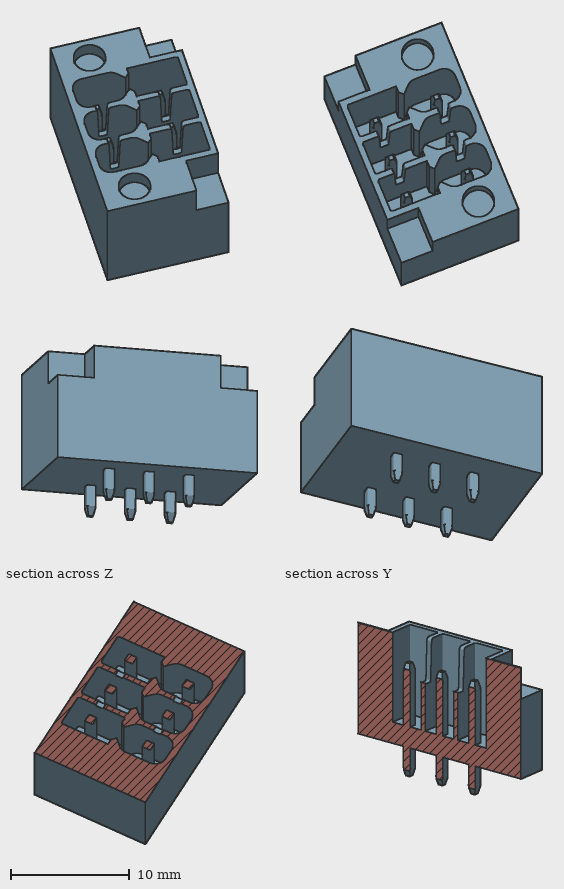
import cadquery as cq
import math

length = 17.5
width = 10.6
overall_height = 12.6
pin_tail = 2.6
housing_height = overall_height - pin_tail

step_length = 3.2
step_width = 2.82
step_depth = 2.82

hole_diameter = 2.7
hole_depth = 1.31
hole_spacing = 13.79
hole_y = -2.4

columns = 3
pitch = 3.5
row_spacing = 5.5
column_positions = [(i - (columns - 1) / 2) * pitch for i in range(columns)]
row_positions = [-row_spacing / 2, row_spacing / 2]

cavity_width = 3.0
cavity_depth = 8.05
cavity_back = 4.76
cavity_front = -4.65
back_radius = 0.2
front_radius = 1.0
shoulder_y = 0.32
neck_y = -0.05
neck_half_width = 0.6
cavity_floor = housing_height - cavity_depth

notch_width = 1.58
notch_depth = 3.85
notch_top_radius = 0.3
notch_draft = 0.12
notch_bottom_radius = 0.2

pin_width = 0.8
pin_edge_radius = 0.12
pin_tip_width = 0.4
pin_tip_length = 0.8
pin_top_clearance = 2.45
pin_top = housing_height - pin_top_clearance


def housing_block():
    block = cq.Workplane("XY").box(length, width, housing_height, centered=(True, True, False))
    for side in (-1, 1):
        step = cq.Workplane("XY").box(step_length, step_width, step_depth).translate((
            side * (length - step_length) / 2,
            (width - step_width) / 2,
            housing_height - step_depth / 2,
        ))
        block = block.cut(step)
    return block


def flange_holes():
    return (
        cq.Workplane("XY", origin=(0, hole_y, housing_height))
        .pushPoints([(-hole_spacing / 2, 0), (hole_spacing / 2, 0)])
        .circle(hole_diameter / 2)
        .extrude(-hole_depth)
    )


def cavity_half():
    """Right half of a cavity, ending on its centre plane X = 0."""
    side = cavity_width / 2
    diagonal = math.sqrt(0.5)
    shoulder_x = neck_half_width + shoulder_y - neck_y
    arc_start_x = side - front_radius * (1 - diagonal)
    arc_start_y = neck_y - (arc_start_x - neck_half_width)
    arc_end_y = arc_start_y - front_radius * diagonal
    return (
        cq.Workplane("XY", origin=(0, 0, cavity_floor))
        .moveTo(0, cavity_back)
        .lineTo(side - back_radius, cavity_back)
        .radiusArc((side, cavity_back - back_radius), back_radius)
        .lineTo(side, shoulder_y)
        .lineTo(shoulder_x, shoulder_y)
        .lineTo(neck_half_width, neck_y)
        .lineTo(arc_start_x, arc_start_y)
        .radiusArc((side, arc_end_y), front_radius)
        .lineTo(side, cavity_front + front_radius)
        .radiusArc((side - front_radius, cavity_front), front_radius)
        .lineTo(0, cavity_front)
        .close()
        .extrude(cavity_depth)
    )


def cavity():
    half = cavity_half()
    return half.union(half.mirror("YZ"))


def partition_notch():
    """Drafted notch with rounded lips and floor corners, long enough to cross every partition."""
    top_half = notch_width / 2
    lip_half = top_half - notch_top_radius
    wall_foot_half = lip_half - notch_draft
    floor_half = wall_foot_half - notch_bottom_radius
    top = housing_height
    lip = top - notch_top_radius
    floor = top - notch_depth
    wall_foot = floor + notch_bottom_radius
    return (
        cq.Workplane("YZ", origin=(-pitch * (columns - 1) / 2, 0, 0))
        .moveTo(-top_half, top)
        .radiusArc((-lip_half, lip), notch_top_radius)
        .lineTo(-wall_foot_half, wall_foot)
        .radiusArc((-floor_half, floor), -notch_bottom_radius)
        .lineTo(floor_half, floor)
        .radiusArc((wall_foot_half, wall_foot), -notch_bottom_radius)
        .lineTo(lip_half, lip)
        .radiusArc((top_half, top), notch_top_radius)
        .close()
        .extrude(pitch * (columns - 1))
    )


def tapered_end(base_z, tip_z):
    return (
        cq.Workplane("XY", origin=(0, 0, base_z))
        .rect(pin_width, pin_width)
        .workplane(offset=tip_z - base_z)
        .rect(pin_tip_width, pin_tip_width)
        .loft(ruled=True)
    )


def contact_pin():
    """Square pin with rounded long edges and a pyramid taper at each end."""
    pin_length = pin_top + pin_tail
    shank_bottom = pin_tip_length - pin_tail
    shank_top = pin_top - pin_tip_length
    rounded_bar = (
        cq.Workplane("XY", origin=(0, 0, -pin_tail))
        .rect(pin_width, pin_width)
        .extrude(pin_length)
        .edges("|Z")
        .fillet(pin_edge_radius)
    )
    tapered_bar = (
        cq.Workplane("XY", origin=(0, 0, shank_bottom))
        .rect(pin_width, pin_width)
        .extrude(shank_top - shank_bottom)
        .union(tapered_end(shank_bottom, -pin_tail))
        .union(tapered_end(shank_top, pin_top))
    )
    return rounded_bar.intersect(tapered_bar)


result = housing_block().cut(flange_holes())

for x in column_positions:
    result = result.cut(cavity().translate((x, 0, 0)))

for y in row_positions:
    result = result.cut(partition_notch().translate((0, y, 0)))

for x in column_positions:
    for y in row_positions:
        result = result.union(contact_pin().translate((x, y, 0)))